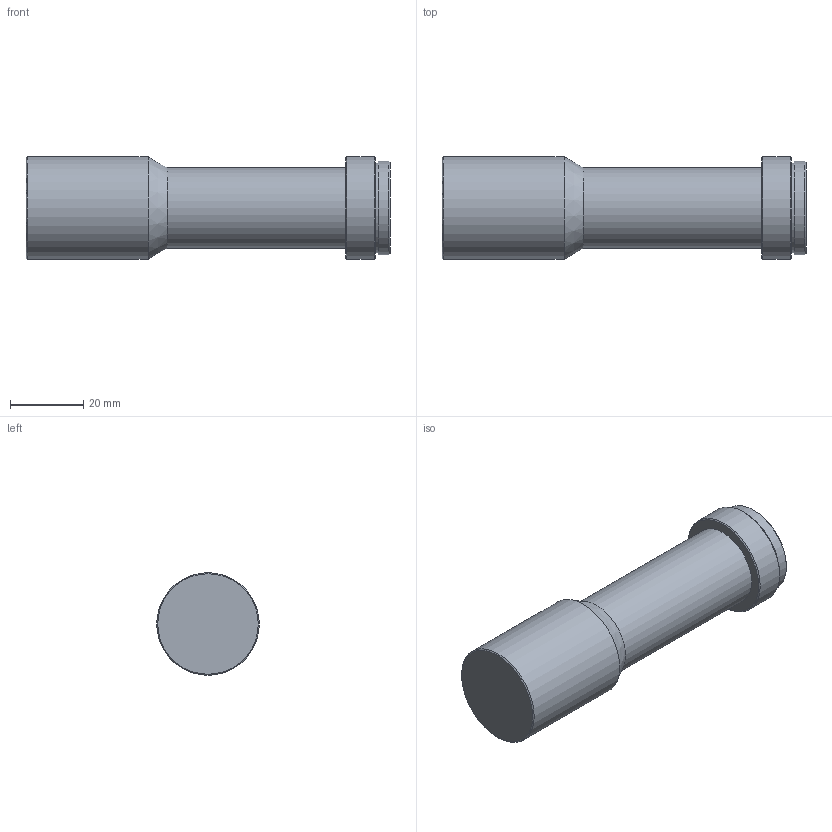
import cadquery as cq
import math

total_length = 99.3

head_radius = 28.0 / 2
head_length = 33.3

neck_radius = 22.0 / 2
cone_half_angle = math.radians(30)
cone_length = (head_radius - neck_radius) / math.tan(cone_half_angle)

mount_radius = 25.4 / 2
mount_length = 4.0
mount_chamfer = 0.4

relief_radius = 24.4 / 2
relief_width = 0.8

collar_radius = head_radius
collar_length = 8.1
rim_chamfer = 0.3

collar_rear = total_length - mount_length
collar_front = collar_rear - collar_length
cone_end = head_length + cone_length


def cylinder(start, end, radius):
    """Solid cylinder along X between two stations."""
    return cq.Workplane("YZ", origin=(start, 0, 0)).circle(radius).extrude(end - start)


def make_head():
    return cylinder(0, head_length, head_radius).faces("<X").chamfer(rim_chamfer)


def make_cone():
    """Taper that brings the head down to the neck."""
    profile = (
        cq.Workplane("XY")
        .moveTo(head_length, 0)
        .lineTo(head_length, head_radius)
        .lineTo(cone_end, neck_radius)
        .lineTo(cone_end, 0)
        .close()
    )
    return profile.revolve(axisStart=(0, 0, 0), axisEnd=(1, 0, 0))


def make_neck():
    return cylinder(cone_end, collar_front, neck_radius)


def make_collar():
    collar = cylinder(collar_front, collar_rear, collar_radius)
    return collar.faces("<X or >X").chamfer(rim_chamfer)


def make_mount():
    """Relief groove floor followed by the chamfered spigot."""
    spigot_start = collar_rear + relief_width
    relief = cylinder(collar_rear, spigot_start, relief_radius)
    spigot = cylinder(spigot_start, total_length, mount_radius)
    return relief.union(spigot.faces(">X").chamfer(mount_chamfer))


result = (
    make_head()
    .union(make_cone())
    .union(make_neck())
    .union(make_collar())
    .union(make_mount())
)